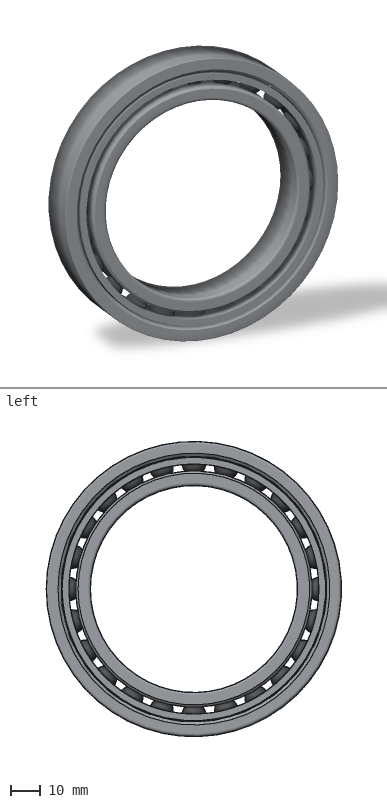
import cadquery as cq
import math

outer_radius = 50.0
bore_radius = 35.0
width = 16.0
half_width = width / 2

ball_count = 24
ball_radius = 4.0
pitch_radius = (outer_radius + bore_radius) / 2

race_clearance = 0.1
race_radius = ball_radius + race_clearance

outer_land_radius = 44.9
outer_land_bevel = 1.1
outer_front_fillet = 1.0
outer_back_fillet = 0.3

inner_land_radius = 40.0
inner_land_bevel = 0.8
bore_fillet = 1.0

cage_inner_radius = 42.3
cage_outer_radius = 44.6
cage_inset = 0.2
cage_width = width - 2 * cage_inset


def race_half_width(radius):
    """Axial distance from the ball centre to the raceway at a given bearing radius."""
    return math.sqrt(race_radius**2 - (radius - pitch_radius) ** 2)


def revolve_about_axis(profile):
    """Turn a closed profile drawn in (axial, radial) coordinates about the X axis."""
    return profile.close().revolve(360, (0, 0, 0), (1, 0, 0))


def make_outer_ring():
    race_edge = race_half_width(outer_land_radius)
    ring = revolve_about_axis(
        cq.Workplane("XY")
        .moveTo(-half_width, outer_land_radius + outer_land_bevel)
        .lineTo(-half_width + outer_land_bevel, outer_land_radius)
        .lineTo(-race_edge, outer_land_radius)
        .threePointArc((0, pitch_radius + race_radius), (race_edge, outer_land_radius))
        .lineTo(half_width - outer_land_bevel, outer_land_radius)
        .lineTo(half_width, outer_land_radius + outer_land_bevel)
        .lineTo(half_width, outer_radius)
        .lineTo(-half_width, outer_radius)
    )
    largest_edge = cq.selectors.RadiusNthSelector(-1)
    ring = ring.faces("<X").edges(largest_edge).fillet(outer_front_fillet)
    return ring.faces(">X").edges(largest_edge).fillet(outer_back_fillet)


def make_inner_ring():
    race_edge = race_half_width(inner_land_radius)
    ring = revolve_about_axis(
        cq.Workplane("XY")
        .moveTo(-half_width, bore_radius)
        .lineTo(-half_width, inner_land_radius - inner_land_bevel)
        .lineTo(-half_width + inner_land_bevel, inner_land_radius)
        .lineTo(-race_edge, inner_land_radius)
        .threePointArc((0, pitch_radius - race_radius), (race_edge, inner_land_radius))
        .lineTo(half_width - inner_land_bevel, inner_land_radius)
        .lineTo(half_width, inner_land_radius - inner_land_bevel)
        .lineTo(half_width, bore_radius)
    )
    return ring.faces("<X or >X").edges(cq.selectors.RadiusNthSelector(0)).fillet(bore_fillet)


def make_ball_cage():
    """Cage band with the balls held in it, as one solid."""
    cage = (
        cq.Workplane("YZ", origin=(-cage_width / 2, 0, 0))
        .circle(cage_outer_radius)
        .circle(cage_inner_radius)
        .extrude(cage_width)
    )
    for index in range(ball_count):
        ball = cq.Workplane("XY").sphere(ball_radius).translate((0, 0, pitch_radius))
        cage = cage.union(ball.rotate((0, 0, 0), (1, 0, 0), index * 360 / ball_count))
    return cage


outer_ring = make_outer_ring()
inner_ring = make_inner_ring()
ball_cage = make_ball_cage()

result = cq.Compound.makeCompound([outer_ring.val(), inner_ring.val(), ball_cage.val()])